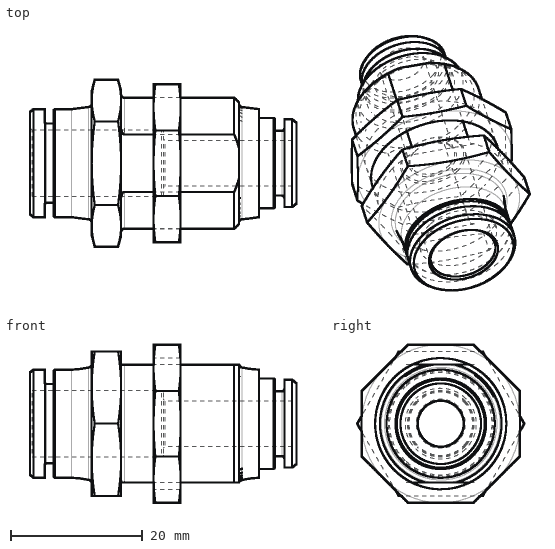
import cadquery as cq
import math

total_length = 40.5

left_flange_radius = 8.22
left_flange_chamfer_length = 0.55
left_flange_chamfer_depth = 0.45
x_left_flange_end = 2.25
left_neck_radius = 6.05
left_neck_fillet = 0.25

barrel_radius = 8.22
x_left_barrel_start = 3.55
barrel_edge_chamfer = 0.25
x_left_taper_start = 6.35
taper_large_radius = 8.55
root_fillet = 0.5

hex_across_corners = 25.4
hex_across_flats = hex_across_corners * math.cos(math.pi / 6)
x_hex_start = 9.4
hex_width = 4.45
x_hex_end = x_hex_start + hex_width
corner_chamfer_angle = 15.0
trimming_clearance = 0.4

shank_radius = 9.95
shank_across_flats = 17.9
shank_chamfer = 0.73
x_shank_end = 31.75
x_shank_root = x_shank_end + root_fillet

x_right_taper_end = 34.8
right_collar_radius = 6.9
x_right_collar_end = 37.2
right_collar_chamfer = 0.2

right_neck_radius = 4.95
right_neck_fillet = 0.35
x_right_flange_start = 38.65
right_flange_radius = 6.7
right_flange_chamfer_length = 0.7
right_flange_chamfer_depth = 0.55

socket_radius = 5.05
socket_mouth_chamfer = 0.32
socket_floor_chamfer = 0.25
socket_depth = total_length / 2
passage_radius = 3.5
passage_chamfer = 0.25

nut_across_flats = 24.0
x_nut_start = 18.8
nut_width = 4.1


def concave_arc(profile, start, end, centre, radius):
    """Add a quarter arc that bulges toward the part's axis, from start to end about centre."""
    half_chord = ((start[0] + end[0]) / 2 - centre[0], (start[1] + end[1]) / 2 - centre[1])
    stretch = radius / math.hypot(*half_chord)
    middle = (centre[0] + half_chord[0] * stretch, centre[1] + half_chord[1] * stretch)
    return profile.lineTo(*start).threePointArc(middle, end)


def falling_fillet(profile, x_face, radius, size):
    """Run down a face at x_face and blend into a shaft of the given radius on its right."""
    start = (x_face, radius + size)
    end = (x_face + size, radius)
    return concave_arc(profile, start, end, (x_face + size, radius + size), size)


def rising_fillet(profile, x_face, radius, size):
    """Blend from a shaft of the given radius up into a face at x_face on its right."""
    start = (x_face - size, radius)
    end = (x_face, radius + size)
    return concave_arc(profile, start, end, (x_face - size, radius + size), size)


def revolve_about_axis(profile):
    return profile.close().revolve(360, (0, 0, 0), (1, 0, 0))


def chamfered_polygon(sides, across_flats, first_corner_angle, x_start, width):
    """Prism along X whose corners are trimmed by a cone at both ends, tangent to the flats."""
    corner_radius = across_flats / 2 / math.cos(math.pi / sides)
    prism = (
        cq.Workplane("YZ", origin=(x_start, 0, 0))
        .polygon(sides, 2 * corner_radius)
        .extrude(width)
        .rotate((0, 0, 0), (1, 0, 0), first_corner_angle)
    )
    face_radius = across_flats / 2
    cone_radius = corner_radius + trimming_clearance
    cone_length = (cone_radius - face_radius) * math.tan(math.radians(corner_chamfer_angle))
    envelope = revolve_about_axis(
        cq.Workplane("XY")
        .moveTo(x_start, 0)
        .lineTo(x_start, face_radius)
        .lineTo(x_start + cone_length, cone_radius)
        .lineTo(x_start + width - cone_length, cone_radius)
        .lineTo(x_start + width, face_radius)
        .lineTo(x_start + width, 0)
    )
    return prism.intersect(envelope)


def left_end():
    """Release collar and tapered barrel up to the hexagon."""
    profile = (
        cq.Workplane("XY")
        .moveTo(0, 0)
        .lineTo(0, left_flange_radius - left_flange_chamfer_depth)
        .lineTo(left_flange_chamfer_length, left_flange_radius)
        .lineTo(x_left_flange_end, left_flange_radius)
    )
    profile = falling_fillet(profile, x_left_flange_end, left_neck_radius, left_neck_fillet)
    profile = (
        profile
        .lineTo(x_left_barrel_start, left_neck_radius)
        .lineTo(x_left_barrel_start, barrel_radius - barrel_edge_chamfer)
        .lineTo(x_left_barrel_start + barrel_edge_chamfer, barrel_radius)
        .lineTo(x_left_taper_start, barrel_radius)
    )
    profile = rising_fillet(profile, x_hex_start, taper_large_radius, root_fillet)
    return revolve_about_axis(profile.lineTo(x_hex_start, 0))


def shank():
    """Threaded length between the hexagon and the right barrel, with flats on +Z and -Z."""
    profile = cq.Workplane("XY").moveTo(x_hex_end, 0)
    profile = falling_fillet(profile, x_hex_end, shank_radius, root_fillet)
    profile = (
        profile
        .lineTo(x_shank_end - shank_chamfer, shank_radius)
        .lineTo(x_shank_end, shank_radius - shank_chamfer)
    )
    profile = falling_fillet(profile, x_shank_end, taper_large_radius, root_fillet)
    turned = revolve_about_axis(profile.lineTo(x_shank_root, 0))
    slab_width = 2 * (shank_radius + root_fillet)
    slab = (
        cq.Workplane("YZ", origin=(x_hex_end, 0, 0))
        .rect(slab_width, shank_across_flats)
        .extrude(x_shank_root - x_hex_end)
    )
    return turned.intersect(slab)


def right_end():
    """Tapered barrel, collar and release collar to the right of the shank."""
    profile = (
        cq.Workplane("XY")
        .moveTo(x_shank_root, 0)
        .lineTo(x_shank_root, taper_large_radius)
        .lineTo(x_right_taper_end, barrel_radius)
        .lineTo(x_right_taper_end, right_collar_radius)
        .lineTo(x_right_collar_end - right_collar_chamfer, right_collar_radius)
        .lineTo(x_right_collar_end, right_collar_radius - right_collar_chamfer)
        .lineTo(x_right_collar_end, right_neck_radius)
    )
    profile = rising_fillet(profile, x_right_flange_start, right_neck_radius, right_neck_fillet)
    return revolve_about_axis(
        profile
        .lineTo(x_right_flange_start, right_flange_radius)
        .lineTo(total_length - right_flange_chamfer_length, right_flange_radius)
        .lineTo(total_length, right_flange_radius - right_flange_chamfer_depth)
        .lineTo(total_length, 0)
    )


def bore():
    """Tube socket from the left end, then a narrower passage through to the right end."""
    return revolve_about_axis(
        cq.Workplane("XY")
        .moveTo(0, 0)
        .lineTo(0, socket_radius + socket_mouth_chamfer)
        .lineTo(socket_mouth_chamfer, socket_radius)
        .lineTo(socket_depth - socket_floor_chamfer, socket_radius)
        .lineTo(socket_depth, socket_radius - socket_floor_chamfer)
        .lineTo(socket_depth, passage_radius + passage_chamfer)
        .lineTo(socket_depth + passage_chamfer, passage_radius)
        .lineTo(total_length, passage_radius)
        .lineTo(total_length, 0)
    )


def fitting_body():
    hexagon = chamfered_polygon(6, hex_across_flats, 0, x_hex_start, hex_width)
    return left_end().union(hexagon).union(shank()).union(right_end()).cut(bore()).solids()


def lock_nut():
    sides = 8
    octagon = chamfered_polygon(sides, nut_across_flats, 180 / sides, x_nut_start, nut_width)
    thread_hole = cq.Workplane("YZ", origin=(x_nut_start, 0, 0)).circle(shank_radius).extrude(nut_width)
    return octagon.cut(thread_hole).solids()


body = fitting_body()
nut = lock_nut()
result = cq.Compound.makeCompound([body.val(), nut.val()])